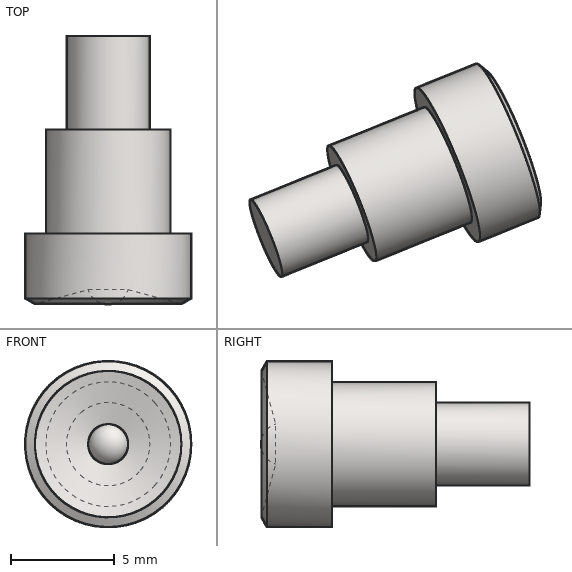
import cadquery as cq

head_radius = 4.002
body_radius = 3.0
tail_radius = 2.0
total_length = 12.93
tail_length = 4.5
body_length = 5.0
head_length = 3.4

bevel_width = 0.48
bevel_depth = 0.27

dish_radius = head_radius - bevel_width
dish_depth = 0.95
nub_radius = 1.01

rim_y = total_length - tail_length - body_length - head_length
shoulder_y = rim_y + head_length
step_y = shoulder_y + body_length

profile = [
    (0, rim_y + dish_depth),
    (dish_radius, rim_y),
    (head_radius, rim_y + bevel_depth),
    (head_radius, shoulder_y),
    (body_radius, shoulder_y),
    (body_radius, step_y),
    (tail_radius, step_y),
    (tail_radius, total_length),
    (0, total_length),
]
pin = cq.Workplane("XY").polyline(profile).close().revolve(360, (0, 0, 0), (0, 1, 0))

nub = cq.Workplane("XY").sphere(nub_radius).translate((0, nub_radius, 0))

result = pin.union(nub)